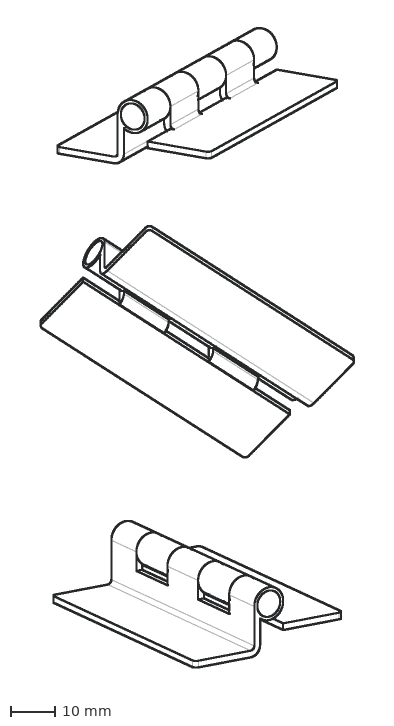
import cadquery as cq
import math

hinge_width = 40.0
hinge_height = 15.9
pin_length = 62.0
leaf_length = 60.0

sheet = 1.6
barrel_radius = 3.9
pin_radius = 3.1
bend_inner_radius = 1.0
bend_outer_radius = bend_inner_radius + sheet
corner_radius = 1.0

low_plate_z = barrel_radius - hinge_height
plate_step = 5.0
high_plate_z = low_plate_z + plate_step

knuckle_length = 13.0
end_knuckle_length = 10.55
knuckle_offset = leaf_length / 2 - end_knuckle_length - knuckle_length / 2
knuckle_centers = (-knuckle_offset, knuckle_offset)
window_floor_z = -4.5

half_width = hinge_width / 2
arm_inner_x = barrel_radius - sheet


def extrude_along_y(profile, length, center_y=0.0):
    """Extrude an XZ profile to a given length centred on center_y."""
    return profile.extrude(length).translate((0, center_y + length / 2, 0))


def leaf_bar(plate_z, side, length, center_y=0.0):
    """Bent sheet from the barrel down to the plate; side is -1 for -X, +1 for +X."""
    top_z = plate_z + sheet
    bend_center_x = barrel_radius + bend_inner_radius
    bend_center_z = top_z + bend_inner_radius
    diagonal = math.sqrt(0.5)
    inner_mid = (side * (bend_center_x - bend_inner_radius * diagonal),
                 bend_center_z - bend_inner_radius * diagonal)
    outer_mid = (side * (bend_center_x - bend_outer_radius * diagonal),
                 bend_center_z - bend_outer_radius * diagonal)
    profile = (
        cq.Workplane("XZ")
        .moveTo(side * barrel_radius, 0)
        .lineTo(side * barrel_radius, bend_center_z)
        .threePointArc(inner_mid, (side * bend_center_x, top_z))
        .lineTo(side * half_width, top_z)
        .lineTo(side * half_width, plate_z)
        .lineTo(side * bend_center_x, plate_z)
        .threePointArc(outer_mid, (side * arm_inner_x, bend_center_z))
        .lineTo(side * arm_inner_x, 0)
        .close()
    )
    return extrude_along_y(profile, length, center_y)


def barrel(length, center_y=0.0):
    """Solid barrel along the pin axis."""
    return extrude_along_y(cq.Workplane("XZ").circle(barrel_radius), length, center_y)


def pin_bore():
    """Hole through the whole barrel that the pin fills."""
    return extrude_along_y(cq.Workplane("XZ").circle(pin_radius), leaf_length)


def make_low_leaf():
    """Leaf on the -X side, bent down the outside of the barrel, with two knuckle windows."""
    leaf = leaf_bar(low_plate_z, -1, leaf_length).union(barrel(leaf_length)).cut(pin_bore())
    window_height = barrel_radius - window_floor_z
    for center_y in knuckle_centers:
        window = (
            cq.Workplane("XY")
            .box(2 * barrel_radius, knuckle_length, window_height)
            .translate((0, center_y, window_floor_z + window_height / 2))
        )
        leaf = leaf.cut(window)
    return leaf.edges("|Z and <X").fillet(corner_radius)


def make_high_leaf():
    """Leaf on the +X side, a plate hung from two knuckles."""
    plate_width = half_width - barrel_radius
    leaf = (
        cq.Workplane("XY")
        .box(plate_width, leaf_length, sheet)
        .translate((barrel_radius + plate_width / 2, 0, high_plate_z + sheet / 2))
    )
    for center_y in knuckle_centers:
        leaf = leaf.union(leaf_bar(high_plate_z, 1, knuckle_length, center_y))
        leaf = leaf.union(barrel(knuckle_length, center_y))
    return leaf.cut(pin_bore()).edges("|Z and >X").fillet(corner_radius)


def dome_midpoint(end):
    """Point halfway along the dome arc; end is -1 or +1 along Y."""
    dome_height = (pin_length - leaf_length) / 2
    dome_radius = (pin_radius**2 + dome_height**2) / (2 * dome_height)
    half_angle = math.asin(pin_radius / dome_radius) / 2
    drop = dome_radius * (1 - math.cos(half_angle))
    return dome_radius * math.sin(half_angle), end * (pin_length / 2 - drop)


def make_pin():
    """Straight pin with a shallow dome standing out of each end of the barrel."""
    profile = (
        cq.Workplane("XY")
        .moveTo(0, -pin_length / 2)
        .threePointArc(dome_midpoint(-1), (pin_radius, -leaf_length / 2))
        .lineTo(pin_radius, leaf_length / 2)
        .threePointArc(dome_midpoint(1), (0, pin_length / 2))
        .close()
    )
    return profile.revolve(360, (0, 0, 0), (0, 1, 0))


low_leaf = make_low_leaf()
high_leaf = make_high_leaf()
pin = make_pin()

result = cq.Compound.makeCompound([low_leaf.val(), high_leaf.val(), pin.val()])